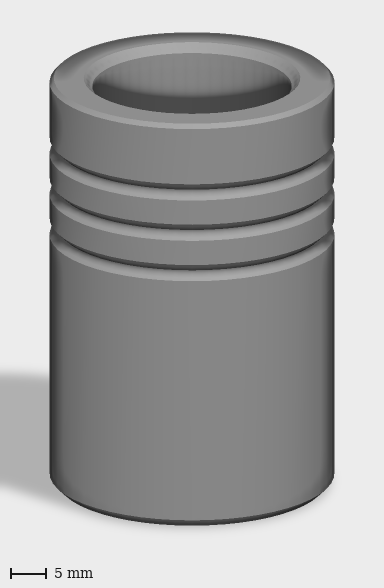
import cadquery as cq

length = 60.0
outer_radius = 40.0 / 2
bore_radius = 28.0 / 2

top_chamfer = 0.6
bottom_chamfer = 1.2
bore_chamfer = 1.2

groove_width = 2.4
groove_depth = 1.2
groove_pitch = 6.0
groove_count = 3
first_groove_from_top = 10.0


def make_sleeve():
    """Revolve the chamfered wall section around Z."""
    wall = (
        cq.Workplane("XZ")
        .moveTo(bore_radius, 0)
        .lineTo(outer_radius - bottom_chamfer, 0)
        .lineTo(outer_radius, bottom_chamfer)
        .lineTo(outer_radius, length - top_chamfer)
        .lineTo(outer_radius - top_chamfer, length)
        .lineTo(bore_radius + bore_chamfer, length)
        .lineTo(bore_radius, length - bore_chamfer)
        .close()
    )
    return wall.revolve(360, (0, 0, 0), (0, 1, 0))


def make_groove(center_z):
    """Ring with the groove's triangular section, centered at center_z."""
    section = (
        cq.Workplane("XZ")
        .moveTo(outer_radius, center_z - groove_width / 2)
        .lineTo(outer_radius, center_z + groove_width / 2)
        .lineTo(outer_radius - groove_depth, center_z)
        .close()
    )
    return section.revolve(360, (0, 0, 0), (0, 1, 0))


result = make_sleeve()
for index in range(groove_count):
    groove_z = length - first_groove_from_top - index * groove_pitch
    result = result.cut(make_groove(groove_z))